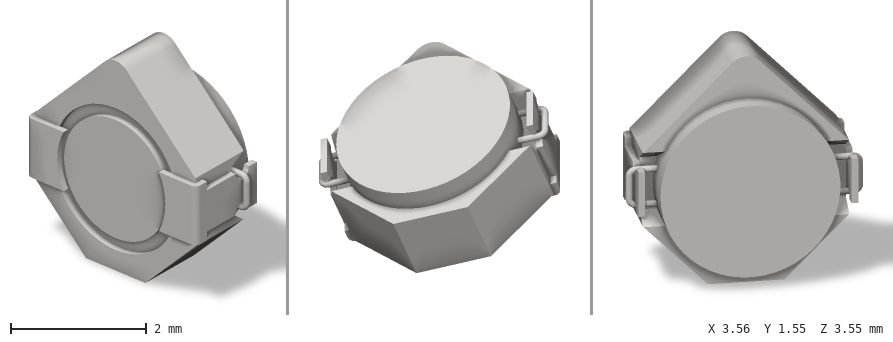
import cadquery as cq
import math


half_width = 1.55
side_half_height = 0.575
corner_radius = 0.3
block_depth = 1.1
diagonal_reach = half_width + side_half_height

drum_radius = 1.35
drum_height = 0.35
drum_top = block_depth + drum_height

groove_inner_radius = 1.0
groove_outer_radius = 1.2
groove_depth = 0.1

notch_depth = 0.3
notch_floor_half_height = 0.413
notch_wall_angle = math.radians(30)
notch_mouth_half_height = notch_floor_half_height + notch_depth * math.tan(notch_wall_angle)

strip_thickness = 0.1
terminal_outer_x = half_width + strip_thickness
terminal_top = 1.278
foot_half_height = 0.5
foot_flange_top = 0.15
tab_half_height = 0.35
foot_clearance_radius = 1.05
bend_radius = strip_thickness

wire_radius = 0.05
wire_outer_x = 1.78
wire_bend_radius = 0.1
wire_leg_z = 0.275
wire_y = block_depth - notch_depth / 2
wire_slot_radius = notch_depth / 2


def y_cylinder(radius, y_start, y_end):
    """Cylinder about the Y axis."""
    return cq.Workplane("XZ", origin=(0, y_start, 0)).circle(radius).extrude(y_start - y_end)


def make_block():
    """Octagonal block with a rounded upper point."""
    return (
        cq.Workplane("XZ")
        .moveTo(0, diagonal_reach)
        .lineTo(half_width, side_half_height)
        .lineTo(half_width, -side_half_height)
        .lineTo(side_half_height, -half_width)
        .lineTo(-side_half_height, -half_width)
        .lineTo(-half_width, -side_half_height)
        .lineTo(-half_width, side_half_height)
        .close()
        .extrude(-block_depth)
        .edges(cq.selectors.NearestToPointSelector((0, block_depth / 2, diagonal_reach)))
        .fillet(corner_radius)
    )


def make_notches():
    """Tapered notches through both sides, reaching in as far as the drum."""
    floor_y = block_depth - notch_depth
    bar = (
        cq.Workplane("YZ")
        .moveTo(floor_y, -notch_floor_half_height)
        .lineTo(floor_y, notch_floor_half_height)
        .lineTo(block_depth, notch_mouth_half_height)
        .lineTo(block_depth, -notch_mouth_half_height)
        .close()
        .extrude(half_width, both=True)
    )
    return bar.cut(y_cylinder(drum_radius, floor_y, block_depth))


def make_core():
    """Block and drum in one piece, with the notches and the ring groove cut in."""
    groove = y_cylinder(groove_outer_radius, 0, groove_depth).cut(
        y_cylinder(groove_inner_radius, 0, groove_depth)
    )
    drum = y_cylinder(drum_radius, block_depth, drum_top)
    return make_block().cut(make_notches()).union(drum).cut(groove)


def make_terminal(side):
    """L-shaped strip on one side: an upright tab and a foot under the core."""
    shoulder_length = terminal_top - foot_flange_top
    shoulder_width = foot_half_height - tab_half_height
    strip = (
        cq.Workplane("XY")
        .moveTo(0, -strip_thickness)
        .lineTo(terminal_outer_x, -strip_thickness)
        .lineTo(terminal_outer_x, terminal_top)
        .lineTo(half_width, terminal_top)
        .lineTo(half_width, 0)
        .lineTo(0, 0)
        .close()
        .extrude(foot_half_height, both=True)
        .edges(cq.selectors.NearestToPointSelector((terminal_outer_x, -strip_thickness, 0)))
        .fillet(bend_radius)
    )
    strip = strip.cut(y_cylinder(foot_clearance_radius, -strip_thickness, 0))
    for end in (1, -1):
        shoulder = cq.Workplane("XY").box(
            strip_thickness, shoulder_length, shoulder_width, centered=(False, False, True)
        )
        shoulder_z = end * (tab_half_height + shoulder_width / 2)
        strip = strip.cut(shoulder.translate((half_width, foot_flange_top, shoulder_z)))
        slot = (
            cq.Workplane("YZ", origin=(half_width, wire_y, end * tab_half_height))
            .circle(wire_slot_radius)
            .extrude(strip_thickness)
        )
        strip = strip.cut(slot)
    return strip if side > 0 else strip.mirror("YZ")


def make_wire(side):
    """Round wire looped outside one terminal, both legs ending on the drum."""
    span_x = wire_outer_x - wire_radius
    bend_x = span_x - wire_bend_radius
    bend_z = wire_leg_z - wire_bend_radius
    bend_offset = wire_bend_radius * math.sqrt(0.5)
    start_x = drum_radius - wire_bend_radius
    path = (
        cq.Workplane("XZ", origin=(0, wire_y, 0))
        .moveTo(start_x, wire_leg_z)
        .lineTo(bend_x, wire_leg_z)
        .threePointArc((bend_x + bend_offset, bend_z + bend_offset), (span_x, bend_z))
        .lineTo(span_x, -bend_z)
        .threePointArc((bend_x + bend_offset, -bend_z - bend_offset), (bend_x, -wire_leg_z))
        .lineTo(start_x, -wire_leg_z)
    )
    wire = (
        cq.Workplane("YZ", origin=(start_x, wire_y, wire_leg_z))
        .circle(wire_radius)
        .sweep(path)
        .cut(y_cylinder(drum_radius, 0, drum_top))
    )
    return wire if side > 0 else wire.mirror("YZ")


core = make_core()
sides = (-1, 1)
terminals = [make_terminal(side) for side in sides]
wires = [make_wire(side) for side in sides]

result = cq.Compound.makeCompound(
    [core.val(), *[terminal.val() for terminal in terminals], *[wire.val() for wire in wires]]
)